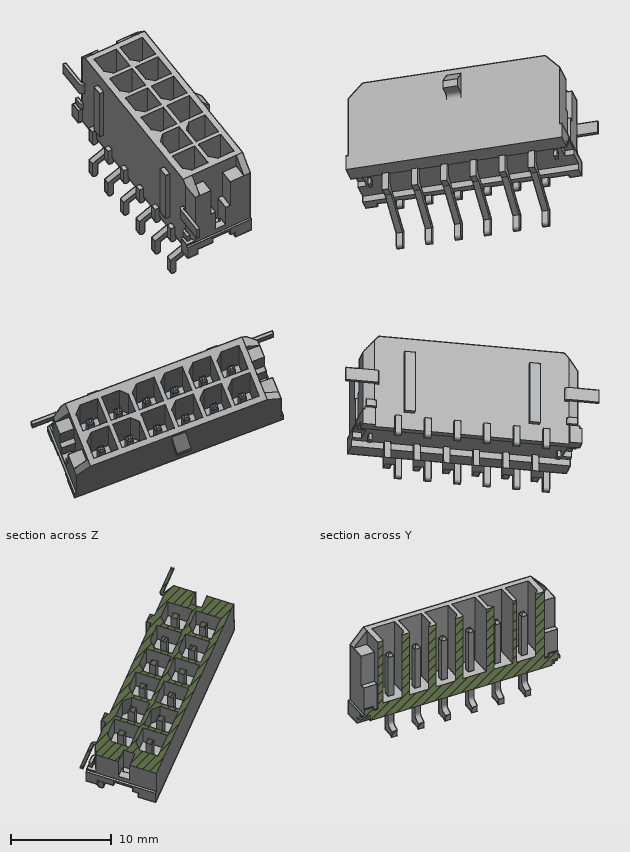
import cadquery as cq
import math


body_half_length = 10.88
body_depth = 6.9
body_height = 9.9
core_half_length = 9.39
front_half_length = 9.86
corner_chamfer_depth = 0.52
shoulder_height = 8.28
front_reach = 0.48
overlap = 0.2

columns = 6
pitch = 3.0
rear_row_y = 4.98
front_row_y = rear_row_y - pitch
column_x = [(i - (columns - 1) / 2) * pitch for i in range(columns)]

cavity_width = 2.57
cavity_corner = 0.69
cavity_floor = 2.4
right_cut = "right"
left_cut = "left"
plain = "plain"
rear_keys = [right_cut, right_cut, right_cut, plain, left_cut, right_cut]
front_keys = [right_cut, right_cut, right_cut, right_cut, left_cut, right_cut]

pin_width = 0.64
pin_offset_y = -0.03
pin_top = 7.4
pin_tip_inset = 0.2
pin_tip_length = 0.32
tip_radius = 0.3
front_tail_top = 1.25
front_tail_bottom = -0.78
rear_tail_bottom = -5.5
inner_bend_z = -1.06
inner_bend_radius = 0.5
heel_z = -1.945
heel_front_y = 4.27
slant_top_z = -3.47
slant_bottom_z = -3.89

rear_rib_depth = 0.75
front_rib_depth = 1.05
slot_y = 3.45
wide_slot_width = 2.24
wide_slot_floor = 4.78
narrow_slot_width = 1.17
narrow_slot_floor = 2.23
nail_pocket_depth = 0.4
nail_pocket_inner_x = 9.83
nail_pocket_outer_x = 10.15
nail_pocket_width = 0.82

foot_half_length = 11.1
foot_height = 1.62
foot_block_height = 1.855
arch_front_y = 0.7
arch_rear_y = 5.04
arch_height = 0.69
relief_width = 2.02
relief_height = 1.31
relief_inner_x = 10.2

nail_thickness = 0.33
nail_bend_radius = 0.36
stem_width = 0.62
bend_inner_x = 9.42
tab_end_x = 12.825
tab_bottom = 4.64
tab_top = 5.96
stub_end_x = 10.71
stub_bend_x = 9.64
stub_bottom = 2.09
stub_top = 2.8
stub_reach = 0.32
nail_leg_depth = 0.8

rib_x = 6.33
rib_width = 1.05
rib_bottom = foot_block_height

latch_width = 1.5
latch_reach = 1.39
latch_top = 9.3
latch_nose_top = 7.78
latch_nose_bottom = 6.95
latch_root_radius = 0.5


def box(x0, x1, y0, y1, z0, z1):
    return cq.Workplane("XY").box(x1 - x0, y1 - y0, z1 - z0, centered=False).translate((x0, y0, z0))


def both_ends(shape):
    """The shape together with its mirror image at the other end of the housing."""
    return shape.union(shape.mirror("YZ"))


def side_profile(points, center_x, width):
    """Prism along X from a (y, z) outline."""
    outline = cq.Workplane("YZ").polyline(points).close()
    return outline.extrude(width / 2, both=True).translate((center_x, 0, 0))


def housing_body():
    plan = (
        cq.Workplane("XY")
        .moveTo(-front_half_length, 0)
        .lineTo(front_half_length, 0)
        .lineTo(body_half_length, corner_chamfer_depth)
        .lineTo(body_half_length, body_depth)
        .lineTo(-body_half_length, body_depth)
        .lineTo(-body_half_length, corner_chamfer_depth)
        .close()
        .extrude(body_height)
    )
    elevation = (
        cq.Workplane("XZ")
        .moveTo(-body_half_length, 0)
        .lineTo(body_half_length, 0)
        .lineTo(body_half_length, shoulder_height)
        .lineTo(core_half_length, body_height)
        .lineTo(-core_half_length, body_height)
        .lineTo(-body_half_length, shoulder_height)
        .close()
        .extrude(-body_depth)
    )
    return plan.intersect(elevation)


def foot():
    """End flange with a higher block that stands out in front of the corner chamfer."""
    flange = box(core_half_length, foot_half_length, 0, body_depth, 0, foot_height)
    lip = box(body_half_length, foot_half_length, -front_reach, overlap, 0, foot_height)
    block = box(
        front_half_length, body_half_length, -front_reach, corner_chamfer_depth, 0, foot_block_height
    )
    return flange.union(lip).union(block)


def slot(width, floor):
    return box(
        core_half_length, foot_half_length,
        slot_y - width / 2, slot_y + width / 2,
        floor, body_height,
    )


def end_recess():
    """Shelf between the end ribs, stepped slot below it, and T-shaped nail pocket in the slot floor."""
    shelf = box(
        core_half_length, foot_half_length,
        front_rib_depth, body_depth - rear_rib_depth,
        shoulder_height, body_height,
    )
    pocket_floor = narrow_slot_floor - nail_pocket_depth
    plate_pocket = box(
        core_half_length, nail_pocket_inner_x,
        slot_y - narrow_slot_width / 2, slot_y + narrow_slot_width / 2,
        pocket_floor, narrow_slot_floor,
    )
    barb_pocket = box(
        core_half_length, nail_pocket_outer_x,
        slot_y - nail_pocket_width / 2, slot_y + nail_pocket_width / 2,
        pocket_floor, narrow_slot_floor,
    )
    stepped_slot = slot(wide_slot_width, wide_slot_floor).union(slot(narrow_slot_width, narrow_slot_floor))
    return shelf.union(stepped_slot).union(plate_pocket).union(barb_pocket)


def underside_relief():
    return box(
        relief_inner_x, foot_half_length,
        slot_y - relief_width / 2, slot_y + relief_width / 2,
        0, relief_height,
    )


def underside_arch():
    return box(
        -foot_half_length, foot_half_length, arch_front_y, arch_rear_y, 0, arch_height
    )


def cavity(x, y, key):
    """Square contact cavity with one front corner cut off as a key."""
    pocket = cq.Workplane("XY").rect(cavity_width, cavity_width).extrude(body_height - cavity_floor)
    if key == right_cut:
        pocket = pocket.edges("|Z and >X and <Y").chamfer(cavity_corner)
    elif key == left_cut:
        pocket = pocket.edges("|Z and <X and <Y").chamfer(cavity_corner)
    return pocket.translate((x, y, cavity_floor))


def pin(x, row_y):
    shank_length = pin_top - pin_tip_length - arch_height
    tip_width = pin_width - 2 * pin_tip_inset
    shank = cq.Workplane("XY").rect(pin_width, pin_width).extrude(shank_length)
    tip = (
        cq.Workplane("XY")
        .rect(pin_width, pin_width)
        .workplane(offset=pin_tip_length)
        .rect(tip_width, tip_width)
        .loft(ruled=True)
        .translate((0, 0, shank_length))
    )
    return shank.union(tip).translate((x, row_y + pin_offset_y, arch_height))


def front_tail(x):
    tail = box(
        x - pin_width / 2, x + pin_width / 2,
        -front_reach, pin_width - front_reach,
        front_tail_bottom, front_tail_top,
    )
    return tail.faces("<Z").edges("|X").fillet(tip_radius)


def rear_tail(x):
    """Tail that drops from the rear row, slants forward and ends in a vertical leg."""
    drop_rear_y = rear_row_y + pin_offset_y + pin_width / 2
    drop_front_y = drop_rear_y - pin_width
    leg_rear_y = pin_width - front_reach
    tail = side_profile(
        [
            (drop_front_y, front_tail_top),
            (drop_front_y, inner_bend_z),
            (-front_reach, slant_top_z),
            (-front_reach, rear_tail_bottom),
            (leg_rear_y, rear_tail_bottom),
            (leg_rear_y, slant_bottom_z),
            (heel_front_y, heel_z),
            (drop_rear_y, heel_z),
            (drop_rear_y, front_tail_top),
        ],
        x, pin_width,
    )
    inner_bend = cq.selectors.NearestToPointSelector((x, drop_front_y, inner_bend_z))
    tail = tail.edges("|X").edges(inner_bend).fillet(inner_bend_radius)
    return tail.faces("<Z").edges("|X").fillet(tip_radius)


def bent_strip(bend_x, end_x, reach, bottom, top):
    """L-shaped strip: a leg set into the front wall and a wing that points outwards."""
    leg = box(bend_x, bend_x + nail_thickness, -reach, nail_leg_depth, bottom, top)
    wing = box(bend_x, end_x, -reach, nail_thickness - reach, bottom, top)
    return leg.union(wing).edges("|Z and <X and <Y").fillet(nail_bend_radius)


def solder_nail():
    tab = bent_strip(bend_inner_x, tab_end_x, front_reach, tab_bottom, tab_top)
    stub = bent_strip(stub_bend_x, stub_end_x, stub_reach, stub_bottom, stub_top)
    stem = box(
        core_half_length, core_half_length + nail_thickness,
        slot_y - stem_width / 2, slot_y + stem_width / 2,
        0, relief_height + overlap,
    )
    return tab.union(stub).union(stem)


def front_rib():
    return box(
        rib_x - rib_width / 2, rib_x + rib_width / 2, -front_reach, overlap, rib_bottom, shoulder_height
    )


def latch():
    nose_y = body_depth + latch_reach
    root_y = body_depth - overlap
    root_z = latch_nose_bottom - latch_root_radius
    arc_mid_offset = latch_root_radius * math.cos(math.pi / 4)
    arc_mid = (body_depth + latch_root_radius - arc_mid_offset, root_z + arc_mid_offset)
    ramp = (
        cq.Workplane("YZ")
        .moveTo(root_y, latch_top)
        .lineTo(body_depth, latch_top)
        .lineTo(nose_y, latch_nose_top)
        .lineTo(nose_y, latch_nose_bottom)
        .lineTo(body_depth + latch_root_radius, latch_nose_bottom)
        .threePointArc(arc_mid, (body_depth, root_z))
        .lineTo(root_y, root_z)
        .close()
    )
    return ramp.extrude(latch_width / 2, both=True)


def build():
    part = housing_body().union(both_ends(foot()))
    part = part.cut(both_ends(end_recess())).cut(underside_arch()).cut(both_ends(underside_relief()))
    for row_y, keys in ((rear_row_y, rear_keys), (front_row_y, front_keys)):
        for x, key in zip(column_x, keys):
            part = part.cut(cavity(x, row_y, key)).union(pin(x, row_y))
    for x in column_x:
        part = part.union(front_tail(x)).union(rear_tail(x))
    part = part.union(both_ends(front_rib())).union(both_ends(solder_nail()))
    return part.union(latch())


result = build()